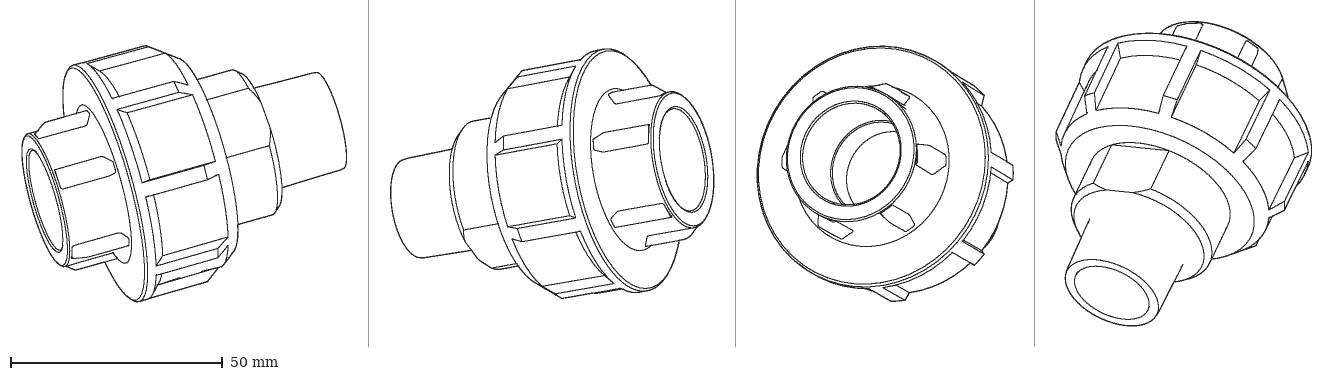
import cadquery as cq
import math


total_length = 71.5
nut_front_y = 14.8
joint_y = 27.2
nut_back_y = 39.9
shoulder_y = 53.6

socket_front_radius = 16.3
socket_root_radius = 16.2
socket_edge_chamfer = 0.4
flare_root_y = 13.1
flare_root_fillet = 0.85
flare_radius = 19.4
socket_bore_mouth_radius = 12.2
socket_bore_end_radius = 11.9
socket_bore_depth = 19.0
throat_start_radius = 11.45
throat_end_radius = 10.8

rib_angle = 1.5
rib_pitch = 60.0
rib_outer = 18.65
rib_root = 15.0
rib_front_y = 1.0
rib_front_radius = 16.3
rib_nose_y = 3.8
rib_straight_side = 1.0
rib_sloped_side = 1.7
rib_side_slope = 0.8
middle_rib_half_width = 1.4
middle_rib_slope = 0.16
rib_nose_fillet = 1.4
rib_edge_fillet = 0.5

nut_flange_diameter = 58.0
nut_flange_radius = nut_flange_diameter / 2
nut_rib_radius = 28.9
nut_cone_y = 33.0
nut_back_radius = 23.9
nut_edge_chamfer = 0.6
pocket_count = 8
nut_rib_angle = 7.0
pocket_floor_front_radius = 26.45
pocket_floor_back_radius = 26.3
pocket_front_y = 17.5
pocket_floor_front_y = 20.1
pocket_back_y = 36.55

body_radius = 17.8
body_chamfer_width = 1.35
body_chamfer_length = 1.65
flat_distance = 16.1
first_flat_angle = 72.2
flat_angles = (first_flat_angle, first_flat_angle + 180)
spigot_root_radius = 12.2
spigot_root_fillet = 1.8
spigot_taper_y = 56.5
spigot_tip_radius = 11.95
spigot_end_radius = 11.8
spigot_tip_length = 0.9
tail_bore_radius = 9.45


def revolve_about_y(sketch, angle=360):
    return sketch.close().revolve(angle, (0, 0, 0), (0, 1, 0))


def turn(shape, angle):
    return shape.rotate((0, 0, 0), (0, 1, 0), -angle)


def make_rib(upper_side, upper_slope, lower_side, lower_slope):
    """One rib on the +X side; each side widens by its slope toward the axis."""
    depth = rib_outer - rib_root
    section = [
        (rib_outer, upper_side),
        (rib_root, upper_side + upper_slope * depth),
        (rib_root, -lower_side - lower_slope * depth),
        (rib_outer, -lower_side),
    ]
    bar = cq.Workplane("XZ").polyline(section).close().extrude(-nut_front_y)
    ahead_of_front = [
        (rib_root, 0),
        (rib_outer, 0),
        (rib_outer, rib_nose_y),
        (rib_front_radius, rib_front_y),
        (rib_root, rib_front_y),
    ]
    reach = rib_outer
    bar = bar.cut(cq.Workplane("XY").polyline(ahead_of_front).close().extrude(reach, both=True))

    nose_point = (rib_outer, rib_nose_y, 0)
    bar = bar.edges(cq.NearestToPointSelector(nose_point)).fillet(rib_nose_fillet)
    return bar.faces(">X").edges("|Y").fillet(rib_edge_fillet)


def make_ribs():
    first = make_rib(rib_straight_side, 0, rib_sloped_side, rib_side_slope)
    second = make_rib(rib_sloped_side, rib_side_slope, rib_straight_side, 0)
    middle = make_rib(middle_rib_half_width, middle_rib_slope, middle_rib_half_width, middle_rib_slope)
    ribs = []
    for i, rib in enumerate((first, second, middle)):
        angle = rib_angle + i * rib_pitch
        ribs.append(turn(rib, angle))
        ribs.append(turn(rib, angle + 180))
    return ribs


def make_socket():
    blank = revolve_about_y(
        cq.Workplane("XY")
        .moveTo(0, 0)
        .lineTo(socket_front_radius - socket_edge_chamfer, 0)
        .lineTo(socket_front_radius, socket_edge_chamfer)
        .lineTo(socket_root_radius, flare_root_y)
        .lineTo(flare_radius, nut_front_y)
        .lineTo(flare_radius, joint_y)
        .lineTo(0, joint_y)
    )
    flare_root = cq.NearestToPointSelector((0, flare_root_y, 0))
    blank = blank.edges("%CIRCLE").edges(flare_root).fillet(flare_root_fillet)
    for rib in make_ribs():
        blank = blank.union(rib)

    bore = revolve_about_y(
        cq.Workplane("XY")
        .moveTo(0, 0)
        .lineTo(socket_bore_mouth_radius + socket_edge_chamfer, 0)
        .lineTo(socket_bore_mouth_radius, socket_edge_chamfer)
        .lineTo(socket_bore_end_radius, socket_bore_depth)
        .lineTo(throat_start_radius, socket_bore_depth)
        .lineTo(throat_end_radius, joint_y)
        .lineTo(0, joint_y)
    )
    return blank.cut(bore)


def make_nut():
    nut = revolve_about_y(
        cq.Workplane("XY")
        .moveTo(flare_radius, nut_front_y)
        .lineTo(nut_flange_radius - nut_edge_chamfer, nut_front_y)
        .lineTo(nut_flange_radius, nut_front_y + nut_edge_chamfer)
        .lineTo(nut_rib_radius, nut_cone_y)
        .lineTo(nut_back_radius, nut_back_y)
        .lineTo(body_radius, nut_back_y)
        .lineTo(body_radius, joint_y)
        .lineTo(flare_radius, joint_y)
    )

    pitch = 360 / pocket_count
    beyond_nut = nut_flange_radius + nut_edge_chamfer
    pocket = revolve_about_y(
        cq.Workplane("XY")
        .moveTo(pocket_floor_back_radius, pocket_back_y)
        .lineTo(pocket_floor_front_radius, pocket_floor_front_y)
        .lineTo(nut_flange_radius, pocket_front_y)
        .lineTo(beyond_nut, pocket_front_y)
        .lineTo(beyond_nut, pocket_back_y),
        pitch - nut_rib_angle,
    )
    for i in range(pocket_count):
        nut = nut.cut(turn(pocket, i * pitch - nut_rib_angle / 2))
    return nut


def make_tail():
    arc_middle = spigot_root_fillet * (1 - math.sqrt(0.5))
    tail = revolve_about_y(
        cq.Workplane("XY")
        .moveTo(throat_end_radius, joint_y)
        .lineTo(body_radius, joint_y)
        .lineTo(body_radius, shoulder_y - body_chamfer_length)
        .lineTo(body_radius - body_chamfer_width, shoulder_y)
        .lineTo(spigot_root_radius + spigot_root_fillet, shoulder_y)
        .threePointArc(
            (spigot_root_radius + arc_middle, shoulder_y + arc_middle),
            (spigot_root_radius, shoulder_y + spigot_root_fillet),
        )
        .lineTo(spigot_root_radius, spigot_taper_y)
        .lineTo(spigot_tip_radius, total_length - spigot_tip_length)
        .lineTo(spigot_end_radius, total_length)
        .lineTo(tail_bore_radius, total_length)
        .lineTo(tail_bore_radius, shoulder_y)
    )

    flat_length = shoulder_y - nut_back_y
    flat_depth = body_radius - flat_distance
    flat_cutter = (
        cq.Workplane("XY")
        .box(flat_depth, flat_length, 2 * body_radius, centered=(False, False, True))
        .translate((flat_distance, nut_back_y, 0))
    )
    for angle in flat_angles:
        tail = tail.cut(turn(flat_cutter, angle))
    return tail


socket = make_socket()
nut = make_nut()
tail = make_tail()

result = cq.Compound.makeCompound([socket.val(), nut.val(), tail.val()])